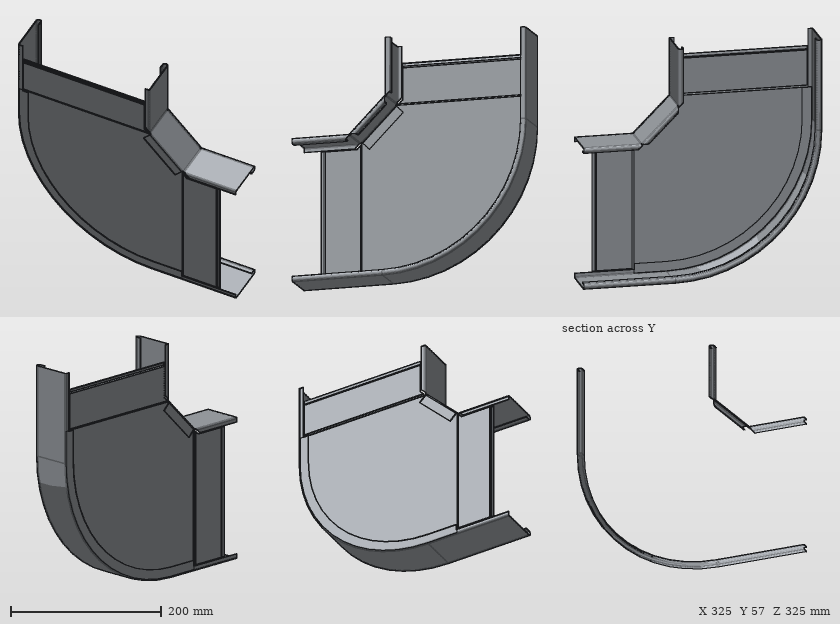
import cadquery as cq
import math


length = 325.0
height = 57.0
tray_width = 196.3
sheet = 1.3
outer_radius = 200.0

bend_radius = 2.0
roll_radius = 4.0
lip_drop = 10.5
bend_flange = 15.0
leg_flange = 6.8

diagonal_sum = 442.5
tab_length = 66.5
flange_setback = 1.5
roll_setback = 2.5
corner_radius = 1.3

flange_step = 243.8
joggle_start = 244.5
joggle_end = 246.7
leg_plate_inset = 8.0
joggle_inset = 3.0
recess_start = 295.5
recess_end = 297.5
curl_radius = 6.0
curl_angle = math.radians(38)

roll_y = height - roll_radius
lip_end_y = height - lip_drop
lip_outside = 2 * roll_radius
swap_x_and_z = cq.Vector(1, 0, -1)


def swapped(body):
    """The copy with X and Z exchanged."""
    return body.mirror(swap_x_and_z, (0, 0, 0))


def front_prism(points, y_from, y_to):
    """Prism over an (X, Z) polygon, between two Y levels."""
    return (
        cq.Workplane("XZ", origin=(0, y_from, 0))
        .polyline(points)
        .close()
        .extrude(y_from - y_to)
    )


def web_section(plane):
    corners = [(0, bend_radius), (sheet, bend_radius), (sheet, roll_y), (0, roll_y)]
    return plane.polyline(corners).close()


def flange_section(plane, width):
    return (
        plane.moveTo(width, 0)
        .lineTo(bend_radius, 0)
        .radiusArc((0, bend_radius), bend_radius)
        .lineTo(sheet, bend_radius)
        .radiusArc((bend_radius, sheet), sheet - bend_radius)
        .lineTo(width, sheet)
        .close()
    )


def roll_section(plane):
    return (
        plane.moveTo(0, roll_y)
        .threePointArc((roll_radius, height), (lip_outside, roll_y))
        .lineTo(lip_outside, lip_end_y)
        .lineTo(lip_outside - sheet, lip_end_y)
        .lineTo(lip_outside - sheet, roll_y)
        .threePointArc((roll_radius, height - sheet), (sheet, roll_y))
        .close()
    )


def section_plane(x, z, inward, along):
    """Sketch plane at (x, z): first axis inward, second axis +Y, extruding along `along`."""
    return cq.Workplane(cq.Plane(origin=(x, 0, z), xDir=inward, normal=along))


def outer_wall_stretch(flange_width, z, sweep):
    """Wall with flange and roll; `sweep` turns each section at height z into a solid."""
    plane = section_plane(0, z, (1, 0, 0), (0, 0, 1))
    wall = sweep(web_section(plane))
    wall = wall.union(sweep(flange_section(plane, flange_width)))
    return wall.union(sweep(roll_section(plane)))


def make_outer_wall():
    near = outer_wall_stretch(bend_flange, outer_radius, lambda s: s.extrude(flange_step - outer_radius))
    far = outer_wall_stretch(leg_flange, flange_step, lambda s: s.extrude(length - flange_step))
    curve = outer_wall_stretch(
        bend_flange,
        outer_radius,
        lambda s: s.revolve(90, (outer_radius, 0), (outer_radius, -1)),
    )
    leg = near.union(far)
    return curve.union(leg).union(swapped(leg))


def make_inner_web():
    corner = diagonal_sum - tray_width
    inside = tray_width - sheet
    inside_corner = diagonal_sum - sheet * math.sqrt(2) - inside
    outline = [
        (tray_width, length),
        (tray_width, corner),
        (corner, tray_width),
        (length, tray_width),
        (length, inside),
        (inside_corner, inside),
        (inside, inside_corner),
        (inside, length),
    ]
    web = front_prism(outline, bend_radius, roll_y)
    outside_bends = [(tray_width, corner), (corner, tray_width)]
    inside_bends = [(inside, inside_corner), (inside_corner, inside)]
    web = round_upright_edges(web, outside_bends, corner_radius)
    return round_upright_edges(web, inside_bends, corner_radius + sheet)


def round_upright_edges(web, places, radius):
    """Fillet the edges parallel to Y that pass through the given (X, Z) places."""
    for x, z in places:
        upright = cq.selectors.NearestToPointSelector((x, height / 2, z))
        web = web.edges("|Y").edges(upright).fillet(radius)
    return web


def past_diagonal(strip, plane_sum):
    """The part of an upper-leg strip where X + Z exceeds plane_sum."""
    keep = [(0, plane_sum), (plane_sum, 0), (plane_sum, plane_sum)]
    return strip.intersect(front_prism(keep, 0, height))


def diagonal_start(edge_length):
    """Section plane at the upper end of a strip centred on the diagonal."""
    middle = diagonal_sum / 2
    shift = edge_length / 2 / math.sqrt(2)
    return section_plane(middle - shift, middle + shift, (-1, 0, -1), (1, 0, -1))


def make_inner_wall():
    corner = diagonal_sum - tray_width
    strip_length = length - corner + lip_outside
    leg_plane = section_plane(tray_width, length, (-1, 0, 0), (0, 0, -1))
    leg_edges = past_diagonal(
        flange_section(leg_plane, leg_flange).extrude(strip_length), diagonal_sum + flange_setback
    )
    leg_edges = leg_edges.union(
        past_diagonal(roll_section(leg_plane).extrude(strip_length), diagonal_sum - roll_setback)
    )

    tab = flange_section(diagonal_start(tab_length), bend_flange).extrude(tab_length)
    diagonal_length = (corner - tray_width) * math.sqrt(2)
    taper = [(tray_width, tray_width), (corner, tray_width), (tray_width, corner)]
    diagonal_roll = roll_section(diagonal_start(diagonal_length)).extrude(diagonal_length)
    diagonal_roll = diagonal_roll.intersect(front_prism(taper, 0, height))

    return make_inner_web().union(tab).union(diagonal_roll).union(leg_edges).union(swapped(leg_edges))


def make_bend_plate():
    """Flat plate behind the flanges of the bend."""
    edge = bend_radius
    arc_radius = outer_radius - edge
    arc_middle = outer_radius - arc_radius / math.sqrt(2)
    diagonal_end = diagonal_sum - edge * math.sqrt(2) - joggle_start
    return (
        cq.Workplane("XZ", origin=(0, sheet, 0))
        .moveTo(edge, joggle_start)
        .lineTo(edge, outer_radius)
        .threePointArc((arc_middle, arc_middle), (outer_radius, edge))
        .lineTo(joggle_start, edge)
        .lineTo(joggle_start, diagonal_end)
        .lineTo(diagonal_end, joggle_start)
        .close()
        .extrude(-sheet)
    )


def leg_profile_plane(x):
    """Sketch plane with axes Y and Z, extruding toward +X."""
    return cq.Workplane("YZ", origin=(x, 0, 0))


def make_joggle():
    """Step from behind the flanges to flush with them, tapering to the leg plate on the inner side."""
    inner_side = tray_width - joggle_inset
    taper_end = joggle_end + leg_plate_inset - joggle_inset
    strip = (
        leg_profile_plane(leg_flange)
        .polyline([
            (sheet, joggle_start),
            (0, joggle_end),
            (0, taper_end),
            (sheet, taper_end),
            (sheet, joggle_end),
            (2 * sheet, joggle_start),
        ])
        .close()
        .extrude(inner_side - leg_flange)
    )
    outline = [
        (leg_flange, joggle_start),
        (leg_flange, joggle_end),
        (leg_plate_inset, joggle_end),
        (leg_plate_inset, taper_end),
        (tray_width - leg_plate_inset, taper_end),
        (inner_side, joggle_end),
        (inner_side, joggle_start),
    ]
    return strip.intersect(front_prism(outline, 0, height))


def make_leg_plate():
    """Plate flush with the flanges; its end steps down one sheet and curls back out."""
    curl_y = sheet - curl_radius

    def curl_point(radius, angle):
        return (curl_y + radius * math.cos(angle), recess_end + radius * math.sin(angle))

    back_radius = curl_radius + sheet
    return (
        leg_profile_plane(leg_plate_inset)
        .moveTo(0, joggle_end)
        .lineTo(0, recess_start)
        .lineTo(sheet, recess_end)
        .threePointArc(curl_point(curl_radius, curl_angle / 2), curl_point(curl_radius, curl_angle))
        .lineTo(*curl_point(back_radius, curl_angle))
        .threePointArc(curl_point(back_radius, curl_angle / 2), curl_point(back_radius, 0))
        .lineTo(sheet, recess_start)
        .lineTo(sheet, joggle_end)
        .close()
        .extrude(tray_width - 2 * leg_plate_inset)
    )


def make_base():
    leg = make_joggle().union(make_leg_plate())
    return make_bend_plate().union(leg).union(swapped(leg))


outer_wall = make_outer_wall()
inner_wall = make_inner_wall()
base = make_base()

result = cq.Compound.makeCompound([
    outer_wall.solids().val(),
    inner_wall.solids().val(),
    base.solids().val(),
])